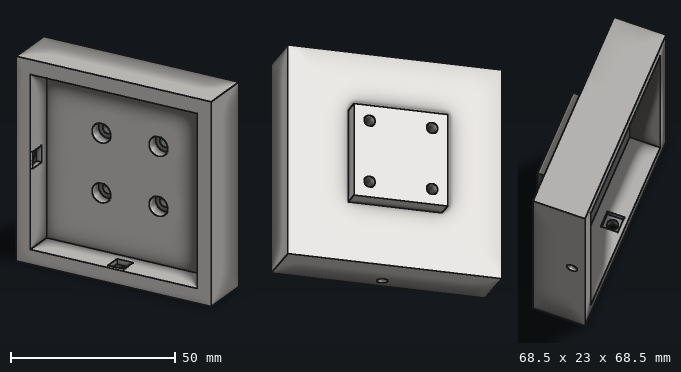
import cadquery as cq

side = 68.5
body_depth = 17.05
wall = 5.0
cavity_depth = 10.0

pad_side = 30.0
total_depth = 23.0
pad_depth = total_depth - body_depth

screw_spacing = 20.0
screw_diameter = 3.5
counterbore_diameter = 6.5
counterbore_depth = 4.0

cross_diameter = 3.4
cross_setback = 4.25
nut_side = 5.6
nut_depth = 1.85


def block(width, depth, height, front):
    """Block centred in X and Z, running from y = front toward +Y."""
    return cq.Workplane("XY").box(width, depth, height, centered=(True, False, True)).translate((0, front, 0))


def rod(diameter, start, direction, length):
    return cq.Workplane(cq.Solid.makeCylinder(diameter / 2, length, cq.Vector(*start), cq.Vector(*direction)))


def nut_hole_cutter():
    """Cross hole and nut pocket for the -Z wall."""
    hole = rod(cross_diameter, (0, cross_setback, -side / 2), (0, 0, 1), wall)
    pocket = block(nut_side, nut_side, nut_depth, cross_setback - nut_side / 2)
    pocket_centre = -side / 2 + wall - nut_depth / 2
    return hole.union(pocket.translate((0, 0, pocket_centre)))


def screw_cutter(x, z):
    hole = rod(screw_diameter, (x, cavity_depth, z), (0, 1, 0), total_depth - cavity_depth)
    return hole.union(rod(counterbore_diameter, (x, cavity_depth, z), (0, 1, 0), counterbore_depth))


cavity_side = side - 2 * wall
tray = block(side, body_depth, side, 0).cut(block(cavity_side, cavity_depth, cavity_side, 0))
result = tray.union(block(pad_side, pad_depth, pad_side, body_depth))

for x in (-screw_spacing / 2, screw_spacing / 2):
    for z in (-screw_spacing / 2, screw_spacing / 2):
        result = result.cut(screw_cutter(x, z))

for turn in (0, 90):
    result = result.cut(nut_hole_cutter().rotate((0, 0, 0), (0, 1, 0), turn))